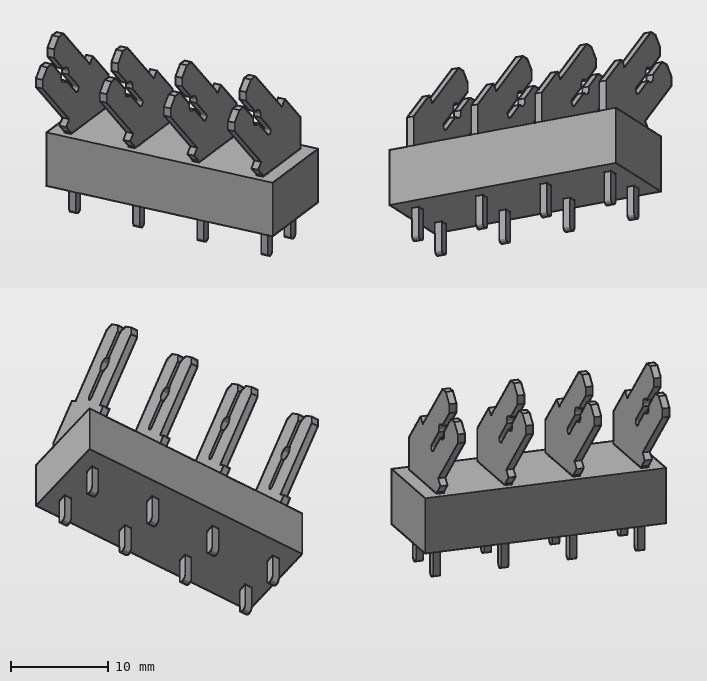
import cadquery as cq
import math


housing_length = 26.5
housing_depth = 9.78
housing_height = 6.05

contact_count = 4
contact_pitch = 7.5
contact_thickness = 0.8

leg_width = 1.0
leg_spacing = 4.98
leg_protrusion = 3.47

base_width = 8.1
bend_height = 1.85
lean_angle = 45.0

blade_width = 6.3
shoulder_distance = 3.1
tip_distance = 11.85
tip_chamfer = 0.7
slot_width = 0.7
slot_end_distance = 3.85
hole_distance = 7.53
hole_diameter = 1.6

contact_positions = [
    (index - (contact_count - 1) / 2) * contact_pitch for index in range(contact_count)
]
leg_positions = (-leg_spacing / 2, leg_spacing / 2)
leg_radius = leg_width / 2
bend_z = housing_height + bend_height


def side_plane(x):
    """Plane on the -X face of the contact centred at x; local axes are global Y and Z."""
    return cq.Workplane("YZ", origin=(x - contact_thickness / 2, 0, 0))


def blade_plane(x):
    """Plane on the contact's -X face at the bend point, local y along the blade to its tip."""
    lean = math.radians(lean_angle)
    across_blade = (0, math.cos(lean), math.sin(lean))
    bend_point = (x - contact_thickness / 2, 0, bend_z)
    return cq.Workplane(cq.Plane(origin=bend_point, xDir=across_blade, normal=(1, 0, 0)))


def make_leg(x, y):
    """Leg from the housing top down to a full-round end below the housing."""
    round_center_z = leg_radius - leg_protrusion
    return (
        side_plane(x)
        .moveTo(y - leg_radius, housing_height)
        .lineTo(y - leg_radius, round_center_z)
        .threePointArc((y, -leg_protrusion), (y + leg_radius, round_center_z))
        .lineTo(y + leg_radius, housing_height)
        .close()
        .extrude(contact_thickness)
    )


def make_base(x):
    """Bent strip of constant width from the housing top to the blade shoulders."""
    lean = math.radians(lean_angle)
    half_width = base_width / 2
    corner_rise = half_width * math.tan(lean / 2)
    shoulder_y = -shoulder_distance * math.sin(lean)
    shoulder_z = bend_z + shoulder_distance * math.cos(lean)
    half_run_y = half_width * math.cos(lean)
    half_run_z = half_width * math.sin(lean)
    outline = [
        (half_width, housing_height),
        (half_width, bend_z + corner_rise),
        (shoulder_y + half_run_y, shoulder_z + half_run_z),
        (shoulder_y - half_run_y, shoulder_z - half_run_z),
        (-half_width, bend_z - corner_rise),
        (-half_width, housing_height),
    ]
    return side_plane(x).polyline(outline).close().extrude(contact_thickness)


def make_prong(x, side):
    """One chamfered half of the forked blade; side is +1 for upper, -1 for lower."""
    inner = side * slot_width / 2
    outer = side * blade_width / 2
    chamfer = side * tip_chamfer
    outline = [
        (inner, shoulder_distance),
        (outer, shoulder_distance),
        (outer, tip_distance - tip_chamfer),
        (outer - chamfer, tip_distance),
        (inner + chamfer, tip_distance),
        (inner, tip_distance - tip_chamfer),
    ]
    return blade_plane(x).polyline(outline).close().extrude(contact_thickness)


def make_slot_root(x):
    """Web that joins the prongs and ends in the concave round of the slot."""
    half_slot = slot_width / 2
    return (
        blade_plane(x)
        .moveTo(-half_slot, shoulder_distance)
        .lineTo(-half_slot, slot_end_distance)
        .threePointArc((0, slot_end_distance - half_slot), (half_slot, slot_end_distance))
        .lineTo(half_slot, shoulder_distance)
        .close()
        .extrude(contact_thickness)
    )


def make_contact(x):
    """Complete contact: legs, bent base and forked blade with a hole on its slot."""
    hole = (
        blade_plane(x)
        .center(0, hole_distance)
        .circle(hole_diameter / 2)
        .extrude(contact_thickness)
    )
    contact = make_base(x)
    for y in leg_positions:
        contact = contact.union(make_leg(x, y))
    for side in (1, -1):
        contact = contact.union(make_prong(x, side))
    return contact.union(make_slot_root(x)).cut(hole)


def make_housing():
    """Block with a rectangular through hole for every leg."""
    leg_points = [(x, y) for x in contact_positions for y in leg_positions]
    block = cq.Workplane("XY").rect(housing_length, housing_depth).extrude(housing_height)
    leg_holes = (
        cq.Workplane("XY")
        .pushPoints(leg_points)
        .rect(contact_thickness, leg_width)
        .extrude(housing_height)
    )
    return block.cut(leg_holes)


housing = make_housing()
contacts = [make_contact(x) for x in contact_positions]

result = cq.Compound.makeCompound(
    [housing.solids().val(), *[contact.solids().val() for contact in contacts]]
)